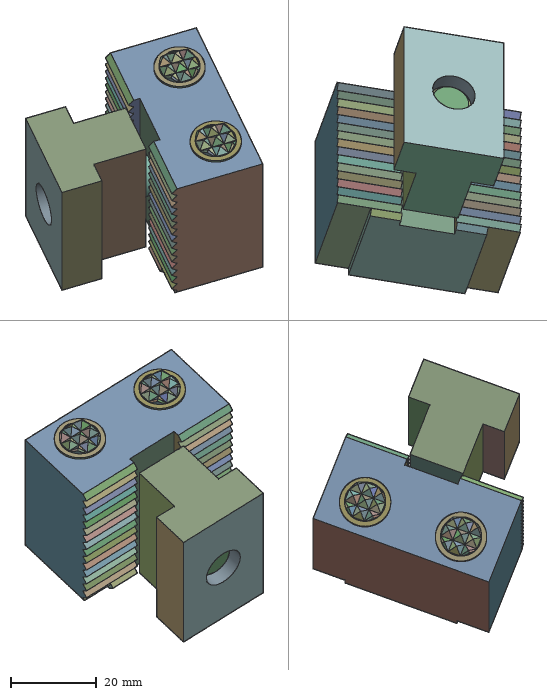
import cadquery as cq

block_width = 44.0
block_height = 40.0
tooth_count = 16
tooth_pitch = block_height / tooth_count
tooth_depth = 1.3
block_depth = 22.75
slot_width = 13.25
slot_floor_depth = 19.9
foot_step_width = 8.0
foot_step_height = 2.0

overall_depth = 46.4
nut_height = 36.0
nut_neck_width = slot_width
nut_base_width = 24.0
nut_base_depth = 9.98
nut_neck_depth = 13.05
nut_bore_diameter = 10.15
nut_bottom = (block_height - nut_height) / 2
nut_front = -overall_depth
nut_back = nut_front + nut_base_depth + nut_neck_depth

screw_diameter = 9.98
screw_chamfer = 0.7
screw_recess = 3.0
screw_height = block_height / 2

overall_height = 42.0
stud_spacing = 24.0
stud_from_back = 8.0
flange_diameter = 12.0
flange_height = 0.5
grip_diameter = 9.6
grip_height = overall_height - block_height
point_pitch = 3.0
point_rows = 3
groove_half_width = point_pitch / 2
groove_depth = 1.45


def make_block():
    """Block with horizontal teeth on its front, a vertical slot and stepped foot."""
    tooth_root = -(block_depth - tooth_depth)
    profile = [(0, 0), (tooth_root, 0)]
    for i in range(tooth_count):
        profile.append((-block_depth, (i + 0.5) * tooth_pitch))
        profile.append((tooth_root, (i + 1) * tooth_pitch))
    profile.append((0, block_height))
    block = (
        cq.Workplane("YZ")
        .polyline(profile)
        .close()
        .extrude(block_width / 2, both=True)
    )

    slot = cq.Workplane("XY").box(
        slot_width, block_depth, block_height, centered=(True, False, False)
    ).translate((0, -slot_floor_depth - block_depth, 0))
    block = block.cut(slot)

    for side in (-1, 1):
        foot_step = cq.Workplane("XY").box(
            foot_step_width, block_depth, foot_step_height, centered=(True, False, False)
        ).translate((side * (block_width - foot_step_width) / 2, -block_depth, 0))
        block = block.cut(foot_step)
    return block


def make_screw():
    """Plain round screw, chamfered at its front end."""
    screw_length = overall_depth - screw_recess - slot_floor_depth
    return (
        cq.Workplane("XZ", origin=(0, -slot_floor_depth, screw_height))
        .circle(screw_diameter / 2)
        .extrude(screw_length)
        .faces("<Y")
        .chamfer(screw_chamfer)
    )


def make_nut():
    """T-shaped nut with a through bore, slightly wider than the screw."""
    base = cq.Workplane("XY").box(
        nut_base_width, nut_base_depth, nut_height, centered=(True, False, False)
    ).translate((0, nut_front, nut_bottom))
    neck = cq.Workplane("XY").box(
        nut_neck_width, nut_back - nut_front, nut_height, centered=(True, False, False)
    ).translate((0, nut_front, nut_bottom))
    bore = (
        cq.Workplane("XZ", origin=(0, nut_back, screw_height))
        .circle(nut_bore_diameter / 2)
        .extrude(nut_back - nut_front)
    )
    return base.union(neck).cut(bore)


def make_groove(plane, offset):
    """V-shaped cutter along the normal of the plane, its bottom edge at the offset."""
    return (
        cq.Workplane(plane)
        .moveTo(offset, grip_height - groove_depth)
        .lineTo(offset + groove_half_width, grip_height)
        .lineTo(offset - groove_half_width, grip_height)
        .close()
        .extrude(grip_diameter, both=True)
    )


def make_stud(x):
    """Flanged stud whose round grip is cut into pyramids by crossing V grooves."""
    flange = cq.Workplane("XY").circle(flange_diameter / 2).extrude(flange_height)
    grip = cq.Workplane("XY").circle(grip_diameter / 2).extrude(grip_height)
    for i in range(point_rows + 1):
        offset = (i - point_rows / 2) * point_pitch
        for plane in ("XZ", "YZ"):
            grip = grip.cut(make_groove(plane, offset))
    return grip.union(flange).translate((x, -stud_from_back, block_height))


block = make_block()
screw = make_screw()
nut = make_nut()
studs = [make_stud(side * stud_spacing / 2) for side in (-1, 1)]

result = cq.Compound.makeCompound(
    [block.val(), screw.val(), nut.val(), *[stud.val() for stud in studs]]
)